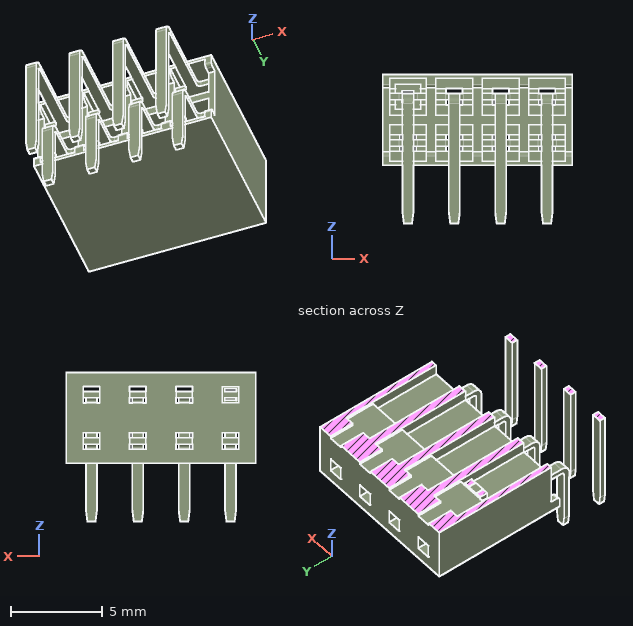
import cadquery as cq

columns = 4
rows = 2
pitch = 2.55

body_length = 10.41
body_depth = 8.5
body_height = 5.0
lip_height = 0.74
lip_depth = 0.58
lip_radius = 0.2

cell_size = 2.02
cell_end = 5.04
slot_height = 0.9
slot_end = 6.93
mating_hole = slot_height

sleeve_size = 1.39
sleeve_hole = 0.63
sleeve_depth = 0.5

pin_width = 0.62
pin_thickness = 0.37
pin_drop = 3.2
top_row_reach = 4.1
bend_inner_radius = 0.19
bend_outer_radius = bend_inner_radius + pin_thickness
tip_length = 0.63
tip_width = 0.45
crossbar_start = 0.75
crossbar_end = cell_end
shoulder_radius = 0.19

column_x = [pitch * (i - (columns - 1) / 2) for i in range(columns)]
row_z = [body_height / 2 + pitch * (j - (rows - 1) / 2) for j in range(rows)]


def block(x, z, width, height, y_start, y_end):
    """Box centred on (x, z) that runs from y_start to y_end."""
    middle = (x, (y_start + y_end) / 2, z)
    return cq.Workplane("XY").box(width, y_end - y_start, height).translate(middle)


def make_housing():
    """Block with a recess across its pin side that leaves a rounded lip above and below."""
    housing = block(0, body_height / 2, body_length, body_height, 0, body_depth)
    recess_height = body_height - 2 * lip_height
    recess = block(0, body_height / 2, body_length, recess_height, 0, lip_depth)
    lip_corners = cq.selectors.BoxSelector(
        (-body_length, -lip_radius, lip_height / 2),
        (body_length, lip_radius, body_height - lip_height / 2),
    )
    return housing.cut(recess).edges("|X").edges(lip_corners).fillet(lip_radius)


def make_cavity(x, z):
    """Square cell, then a flat slot, then a square hole through the mating face."""
    cell = block(x, z, cell_size, cell_size, 0, cell_end)
    slot = block(x, z, cell_size, slot_height, cell_end, slot_end)
    hole = block(x, z, mating_hole, mating_hole, slot_end, body_depth)
    return cell.union(slot).union(hole)


def make_sleeve(x, z):
    """Square plate with a square hole, seated against the end of a cell."""
    start = cell_end - sleeve_depth
    plate = block(x, z, sleeve_size, sleeve_size, start, cell_end)
    return plate.cut(block(x, z, sleeve_hole, sleeve_hole, start, cell_end))


def make_crossbar(x, z):
    """Flat bar across the cell, with a rounded shoulder on each side of the pin."""
    bar = block(x, z, cell_size, pin_thickness, crossbar_start, crossbar_end)
    flared_width = pin_width + 2 * shoulder_radius
    flare_start = crossbar_start - shoulder_radius
    shoulder = block(x, z, flared_width, pin_thickness, flare_start, crossbar_start)
    for side in (-1, 1):
        round_cut = (
            cq.Workplane("XY")
            .center(x + side * flared_width / 2, flare_start)
            .circle(shoulder_radius)
            .extrude(pin_thickness)
            .translate((0, 0, z - pin_thickness / 2))
        )
        shoulder = shoulder.cut(round_cut)
    return bar.union(shoulder)


def make_pin(x, z, reach):
    """Flat pin that leaves the cell, bends down and ends in a tapered tip."""
    top = z + pin_thickness / 2
    side_profile = (
        cq.Workplane("YZ")
        .moveTo(crossbar_start, top)
        .lineTo(-reach + bend_outer_radius, top)
        .radiusArc((-reach, top - bend_outer_radius), -bend_outer_radius)
        .lineTo(-reach, -pin_drop)
        .lineTo(-reach + pin_thickness, -pin_drop)
        .lineTo(-reach + pin_thickness, top - bend_outer_radius)
        .radiusArc((-reach + bend_outer_radius, top - pin_thickness), bend_inner_radius)
        .lineTo(crossbar_start, top - pin_thickness)
        .close()
    )
    pin = side_profile.extrude(pin_width / 2, both=True)
    front_outline = (
        cq.Workplane("XZ", origin=(0, crossbar_start, 0))
        .moveTo(-tip_width / 2, -pin_drop)
        .lineTo(tip_width / 2, -pin_drop)
        .lineTo(pin_width / 2, -pin_drop + tip_length)
        .lineTo(pin_width / 2, top)
        .lineTo(-pin_width / 2, top)
        .lineTo(-pin_width / 2, -pin_drop + tip_length)
        .close()
        .extrude(crossbar_start + reach)
    )
    return pin.intersect(front_outline).translate((x, 0, 0))


result = make_housing()
for x in column_x:
    for z in row_z:
        result = result.cut(make_cavity(x, z))

for x in column_x:
    for row, z in enumerate(row_z):
        reach = top_row_reach - pitch * (rows - 1 - row)
        result = result.union(make_crossbar(x, z)).union(make_pin(x, z, reach))

result = result.union(make_sleeve(column_x[0], row_z[-1]))